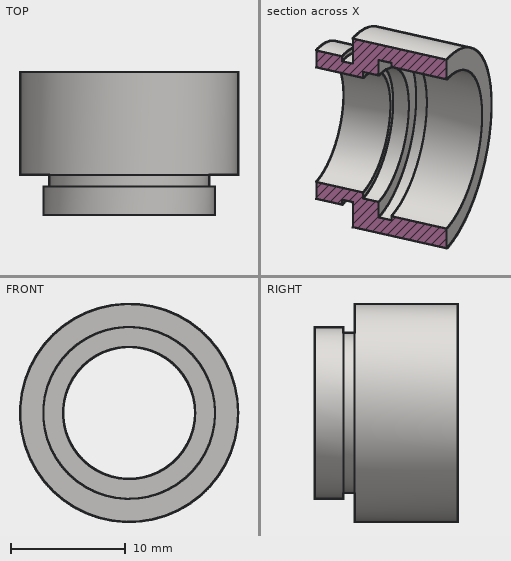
import cadquery as cq

body_diameter = 19.05
spigot_diameter = 15.0
neck_diameter = 14.0
spigot_length = 2.5
neck_length = 1.0
total_length = 12.5

entry_diameter = 11.5
entry_length = 4.5
middle_diameter = 12.7
middle_length = 1.5
groove_diameter = 15.8
groove_width = 1.2
socket_diameter = 15.0


def cylinder(diameter, start, length):
    """Cylinder on the Y axis, from y = start to y = start + length."""
    plane = cq.Plane(origin=(0, start, 0), xDir=(1, 0, 0), normal=(0, 1, 0))
    return cq.Workplane(plane).circle(diameter / 2).extrude(length)


def make_outside():
    body_start = spigot_length + neck_length
    spigot = cylinder(spigot_diameter, 0, spigot_length)
    neck = cylinder(neck_diameter, spigot_length, neck_length)
    body = cylinder(body_diameter, body_start, total_length - body_start)
    return spigot.union(neck).union(body)


def make_inside():
    middle_start = entry_length
    groove_start = middle_start + middle_length
    socket_start = groove_start + groove_width
    entry = cylinder(entry_diameter, 0, entry_length)
    middle = cylinder(middle_diameter, middle_start, middle_length)
    groove = cylinder(groove_diameter, groove_start, groove_width)
    socket = cylinder(socket_diameter, socket_start, total_length - socket_start)
    return entry.union(middle).union(groove).union(socket)


result = make_outside().cut(make_inside())